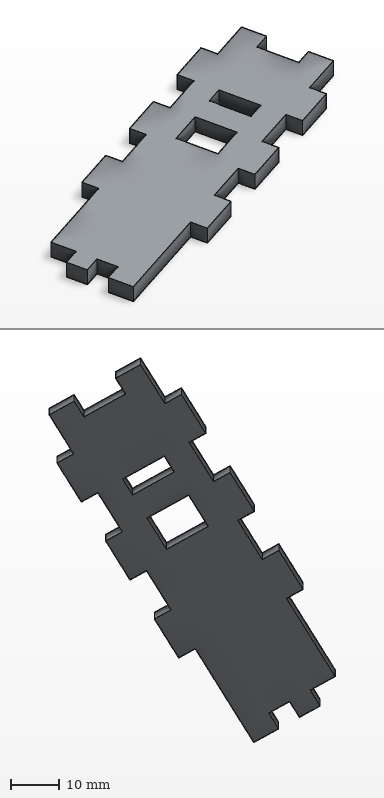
import cadquery as cq

length = 84.0
overall_width = 30.0
body_width = 22.0
thickness = 4.0

finger = 10.0
joint_depth = 4.0
side_tab_count = 3

window_length = 8.0

top_y = length / 2
bottom_y = -length / 2


def block(x_min, x_max, y_min, y_max):
    """Full-thickness rectangular block between the given limits."""
    return (
        cq.Workplane("XY")
        .box(x_max - x_min, y_max - y_min, thickness, centered=False)
        .translate((x_min, y_min, -thickness / 2))
    )


result = block(-body_width / 2, body_width / 2, bottom_y, top_y)

for index in range(side_tab_count):
    tab_top = top_y - finger * (1 + 2 * index)
    tab = block(-overall_width / 2, overall_width / 2, tab_top - finger, tab_top)
    result = result.union(tab)

result = result.cut(block(-finger / 2, finger / 2, top_y - joint_depth, top_y))

slot_top = top_y - 2 * finger
window_top = top_y - 3 * finger
result = result.cut(block(-finger / 2, finger / 2, slot_top - joint_depth, slot_top))
result = result.cut(block(-finger / 2, finger / 2, window_top - window_length, window_top))

notch_top = bottom_y + joint_depth
result = result.cut(block(-body_width / 2, -finger / 2, bottom_y, notch_top))
result = result.cut(block(0, finger / 2, bottom_y, notch_top))